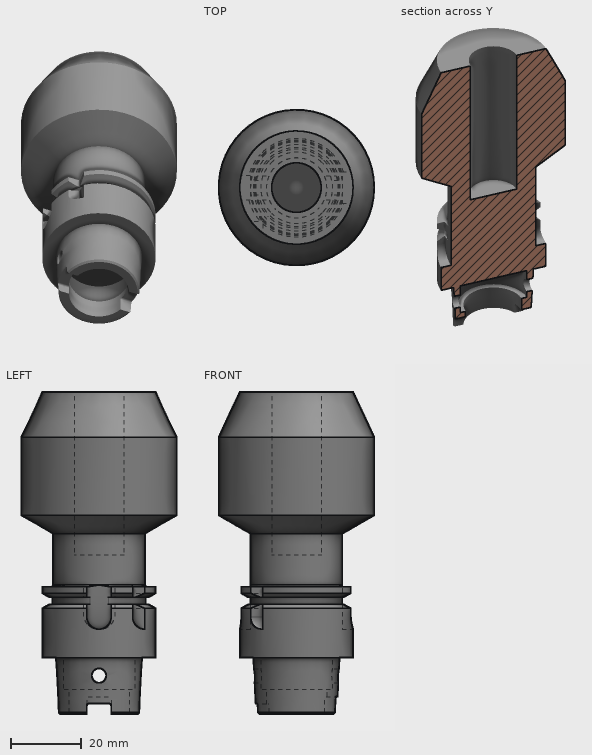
import cadquery as cq
import math


SHANK_LENGTH = 16.0
SHANK_TOP_RADIUS = 12.22
SHANK_END_RADIUS = 11.42
SHANK_CHAMFER = 0.5
SHANK_BORE_RADIUS = 8.5
SHANK_RELIEF_RADIUS = 10.1
SHANK_RELIEF_HEIGHT = 9.0
CROSS_HOLE_DIAMETER = 4.0
CROSS_HOLE_Z = -5.1
NOTCH_WIDTH = 6.8
NOTCH_CORNER_RADIUS = 0.6
SHALLOW_NOTCH_DEPTH = 3.0
DEEP_NOTCH_DEPTH = 5.0

FLANGE_RADIUS = 16.0
FLANGE_HEIGHT = 20.0
GROOVE_FLOOR_RADIUS = 13.25
GROOVE_WIDTH = 1.9
GROOVE_STEP_RADIUS = 13.95
GROOVE_CENTRE_Z = 16.03
GROOVE_SIDE_ANGLE = 30.0

NARROW_SLOT_WIDTH = 6.9
WIDE_SLOT_WIDTH = 9.0
SLOT_BOTTOM_Z = 8.0
KEY_SLOT_FLOOR = 13.0
CORNER_SLOT_EDGE = 9.5

NECK_RADIUS = 13.0
NECK_FILLET = 0.5
HEAD_BASE_Z = 35.0
HEAD_RADIUS = 22.0
HEAD_BASE_ANGLE = 30.0
HEAD_CYLINDER_HEIGHT = 22.0
HEAD_TOP_Z = 75.0
HEAD_TOP_RADIUS = 16.0
TOOL_BORE_RADIUS = 7.0
TOOL_BORE_DEPTH = 46.0


def make_body():
    groove_half_width = GROOVE_WIDTH / 2
    groove_rise = (FLANGE_RADIUS - GROOVE_STEP_RADIUS) * math.tan(math.radians(GROOVE_SIDE_ANGLE))
    groove_half_mouth = groove_half_width + groove_rise
    head_cylinder_z = HEAD_BASE_Z + (HEAD_RADIUS - NECK_RADIUS) * math.tan(math.radians(HEAD_BASE_ANGLE))
    fillet_middle = NECK_FILLET * (1 - math.sqrt(0.5))
    return (
        cq.Workplane("XZ")
        .moveTo(0, -SHANK_LENGTH)
        .lineTo(SHANK_END_RADIUS - SHANK_CHAMFER, -SHANK_LENGTH)
        .lineTo(SHANK_END_RADIUS, SHANK_CHAMFER - SHANK_LENGTH)
        .lineTo(SHANK_TOP_RADIUS, 0)
        .lineTo(FLANGE_RADIUS, 0)
        .lineTo(FLANGE_RADIUS, GROOVE_CENTRE_Z - groove_half_mouth)
        .lineTo(GROOVE_STEP_RADIUS, GROOVE_CENTRE_Z - groove_half_width)
        .lineTo(GROOVE_FLOOR_RADIUS, GROOVE_CENTRE_Z - groove_half_width)
        .lineTo(GROOVE_FLOOR_RADIUS, GROOVE_CENTRE_Z + groove_half_width)
        .lineTo(GROOVE_STEP_RADIUS, GROOVE_CENTRE_Z + groove_half_width)
        .lineTo(FLANGE_RADIUS, GROOVE_CENTRE_Z + groove_half_mouth)
        .lineTo(FLANGE_RADIUS, FLANGE_HEIGHT)
        .lineTo(NECK_RADIUS + NECK_FILLET, FLANGE_HEIGHT)
        .threePointArc(
            (NECK_RADIUS + fillet_middle, FLANGE_HEIGHT + fillet_middle),
            (NECK_RADIUS, FLANGE_HEIGHT + NECK_FILLET),
        )
        .lineTo(NECK_RADIUS, HEAD_BASE_Z)
        .lineTo(HEAD_RADIUS, head_cylinder_z)
        .lineTo(HEAD_RADIUS, head_cylinder_z + HEAD_CYLINDER_HEIGHT)
        .lineTo(HEAD_TOP_RADIUS, HEAD_TOP_Z)
        .lineTo(0, HEAD_TOP_Z)
        .close()
        .revolve(360, (0, 0), (0, 1))
    )


def vertical_bore(radius, bottom_z, depth):
    return cq.Workplane("XY").workplane(offset=bottom_z).circle(radius).extrude(depth)


def cross_hole():
    return (
        cq.Workplane("YZ")
        .center(0, CROSS_HOLE_Z)
        .circle(CROSS_HOLE_DIAMETER / 2)
        .extrude(FLANGE_RADIUS, both=True)
    )


def drive_notch(side, depth):
    """Notch in the shank end wall, on the side of X given by the sign of side."""
    return (
        cq.Workplane("XY")
        .box(FLANGE_RADIUS, NOTCH_WIDTH, 2 * depth)
        .edges("|X")
        .fillet(NOTCH_CORNER_RADIUS)
        .translate((side * FLANGE_RADIUS / 2, 0, -SHANK_LENGTH))
    )


def flange_slot(side, floor_x, centre_y, width):
    """Round-bottomed slot, open at the flange top and cut inward along X to floor_x."""
    radius = width / 2
    top_z = FLANGE_HEIGHT + NECK_FILLET
    centre_z = SLOT_BOTTOM_Z + radius
    return (
        cq.Workplane("YZ", origin=(side * floor_x, centre_y, 0))
        .moveTo(-radius, top_z)
        .lineTo(-radius, centre_z)
        .threePointArc((0, SLOT_BOTTOM_Z), (radius, centre_z))
        .lineTo(radius, top_z)
        .close()
        .extrude(side * FLANGE_RADIUS)
    )


result = make_body()
result = result.cut(vertical_bore(TOOL_BORE_RADIUS, HEAD_TOP_Z - TOOL_BORE_DEPTH, TOOL_BORE_DEPTH))
result = result.cut(vertical_bore(SHANK_BORE_RADIUS, -SHANK_LENGTH, SHANK_LENGTH))
result = result.cut(vertical_bore(SHANK_RELIEF_RADIUS, -SHANK_RELIEF_HEIGHT, SHANK_RELIEF_HEIGHT))
result = result.cut(cross_hole())
result = result.cut(drive_notch(-1, SHALLOW_NOTCH_DEPTH))
result = result.cut(drive_notch(1, DEEP_NOTCH_DEPTH))
result = result.cut(flange_slot(-1, KEY_SLOT_FLOOR, 0, NARROW_SLOT_WIDTH))
result = result.cut(flange_slot(1, KEY_SLOT_FLOOR, 0, WIDE_SLOT_WIDTH))
corner_slot_y = -CORNER_SLOT_EDGE - NARROW_SLOT_WIDTH / 2
result = result.cut(flange_slot(-1, CORNER_SLOT_EDGE, corner_slot_y, NARROW_SLOT_WIDTH))